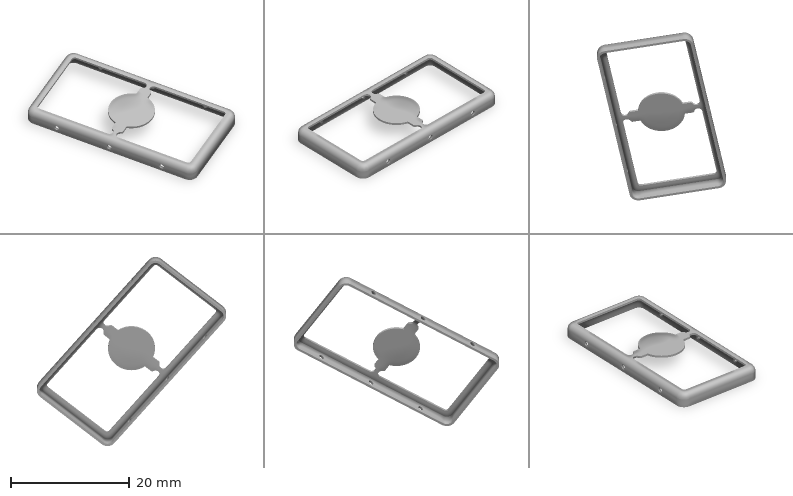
import cadquery as cq
import math

length = 32.1
width = 16.6
height = 2.5
corner_radius = 1.5
top_round = 1.0
wall = 0.42
cavity_corner_radius = corner_radius - wall

plate_thickness = 0.4
lip_border = 1.48
window_corner_radius = 0.5
window_length = length - 2 * lip_border
window_width = width - 2 * lip_border
plate_bottom = height - plate_thickness

disk_radius = 3.98
arm_half_width = 1.05
neck_half_width = 0.35
notch_radius = 0.67
shoulder_radius = 0.42

hole_diameter = 0.9
hole_height = 1.0
hole_spacing = 9.98
hole_count = 3


def rounded_block(size_x, size_y, size_z, radius):
    """Centred block standing on Z = 0 with rounded vertical edges."""
    block = cq.Workplane("XY").box(size_x, size_y, size_z, centered=(True, True, False))
    return block.edges("|Z").fillet(radius)


def arm():
    """Arm on the +Y side: a neck between two round notches, then shoulders down to the disk."""
    rim_y = window_width / 2
    notch_x = neck_half_width + notch_radius
    notch_y = rim_y - notch_radius
    shoulder_x = arm_half_width - shoulder_radius

    centre_distance = notch_radius + shoulder_radius
    drop = math.sqrt(centre_distance**2 - (notch_x - shoulder_x) ** 2)
    shoulder_y = notch_y - drop
    blend = notch_radius / centre_distance
    tangent_x = notch_x + blend * (shoulder_x - notch_x)
    tangent_y = notch_y - blend * drop

    shoulder_angle = math.atan2(drop, notch_x - shoulder_x) / 2
    shoulder_mid_x = shoulder_x + shoulder_radius * math.cos(shoulder_angle)
    shoulder_mid_y = shoulder_y + shoulder_radius * math.sin(shoulder_angle)

    root_y = (rim_y + width / 2 - top_round) / 2
    half = (
        cq.Workplane("XY", origin=(0, 0, plate_bottom))
        .moveTo(0, root_y)
        .lineTo(notch_x, root_y)
        .lineTo(notch_x, rim_y)
        .radiusArc((neck_half_width, notch_y), -notch_radius)
        .radiusArc((tangent_x, tangent_y), -notch_radius)
        .threePointArc((shoulder_mid_x, shoulder_mid_y), (arm_half_width, shoulder_y))
        .lineTo(arm_half_width, 0)
        .lineTo(0, 0)
        .close()
        .extrude(plate_thickness)
    )
    return half.union(half.mirror("YZ"))


def frame():
    """Rounded rim, hollow underneath, with an open window in its top plate."""
    body = rounded_block(length, width, height, corner_radius).faces(">Z").edges().fillet(top_round)
    cavity = rounded_block(length - 2 * wall, width - 2 * wall, plate_bottom, cavity_corner_radius)
    window = rounded_block(window_length, window_width, height, window_corner_radius)
    return body.cut(cavity).cut(window)


def wall_holes():
    """Row of round holes running along Y through both long walls."""
    return (
        cq.Workplane("XZ", origin=(0, 0, hole_height))
        .rarray(hole_spacing, 0.32, hole_count, 1)
        .circle(hole_diameter / 2)
        .extrude(width / 2, both=True)
    )


disk = cq.Workplane("XY", origin=(0, 0, plate_bottom)).circle(disk_radius).extrude(plate_thickness)
back_arm = arm()
front_arm = back_arm.mirror("XZ")

result = frame().union(disk).union(back_arm).union(front_arm).cut(wall_holes()).clean()